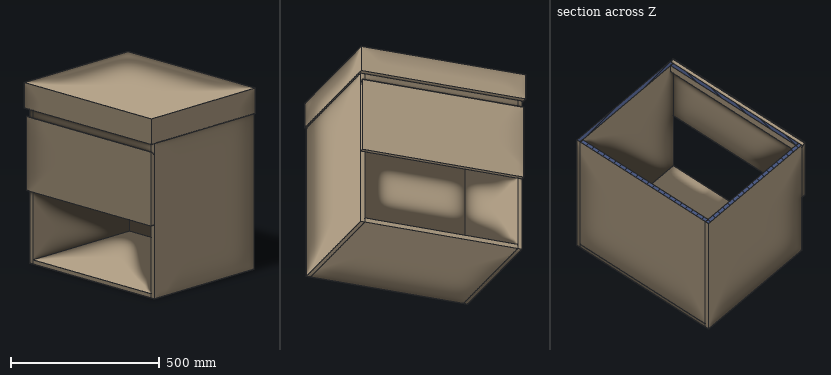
import cadquery as cq

top_width = 600.0
top_depth = 500.0
total_height = 640.0
top_thickness = 90.0

cabinet_width = 588.0
front_overhang = 20.0
board = 15.5
cabinet_height = total_height - top_thickness
cabinet_depth = top_depth - front_overhang
inner_width = cabinet_width - 2 * board
cabinet_front = front_overhang

grip_gap = 29.0
drawer_height = 260.5
drawer_thickness = 16.0
grip_bevel = 13.0
drawer_top = cabinet_height - grip_gap

rail_height = 2 * grip_gap


def panel(width, depth, height, center_x, front_y, bottom_z):
    """Rectangular board placed by its X centre, front face and underside."""
    board_solid = cq.Workplane("XY").box(width, depth, height, centered=(True, False, False))
    return board_solid.translate((center_x, front_y, bottom_z))


def make_countertop():
    return panel(top_width, top_depth, top_thickness, 0, 0, cabinet_height)


def make_side_panel(direction):
    """Side board; direction is -1 for the -X side and +1 for the +X side."""
    center_x = direction * (cabinet_width - board) / 2
    return panel(board, cabinet_depth, cabinet_height, center_x, cabinet_front, 0)


def make_bottom_panel():
    return panel(inner_width, cabinet_depth, board, 0, cabinet_front, 0)


def make_back_panel():
    """Back board standing on the bottom panel, between the sides."""
    return panel(inner_width, board, cabinet_height - board, 0, top_depth - board, board)


def make_front_rail():
    return panel(inner_width, board, rail_height, 0, cabinet_front, cabinet_height - rail_height)


def make_drawer_front():
    front_y = cabinet_front - drawer_thickness
    bottom_z = drawer_top - drawer_height
    front = panel(cabinet_width, drawer_thickness, drawer_height, 0, front_y, bottom_z)
    return front.faces(">Z").edges(">Y").chamfer(grip_bevel)


countertop = make_countertop()
side_panels = [make_side_panel(direction) for direction in (-1, 1)]
bottom_panel = make_bottom_panel()
back_panel = make_back_panel()
front_rail = make_front_rail()
drawer_front = make_drawer_front()

result = cq.Compound.makeCompound([
    countertop.val(),
    *[side.val() for side in side_panels],
    bottom_panel.val(),
    back_panel.val(),
    front_rail.val(),
    drawer_front.val(),
])